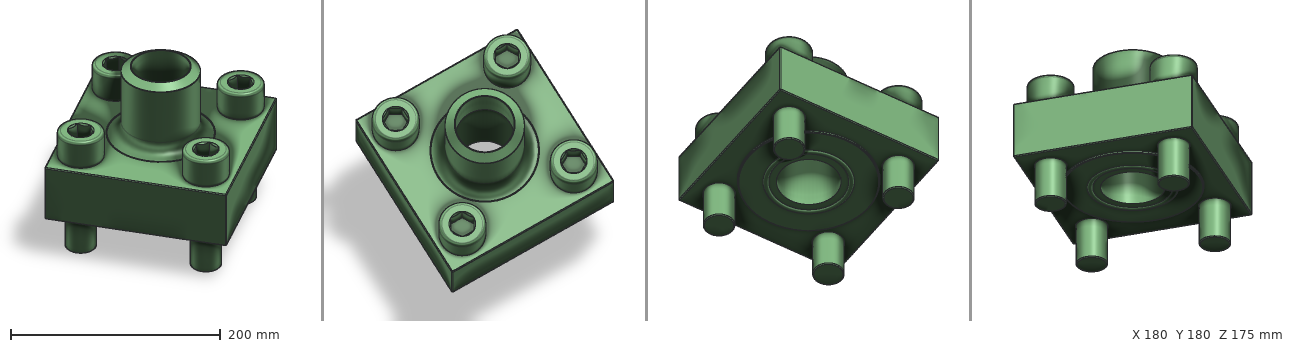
import cadquery as cq
import math

PLATE_SIDE = 180
PLATE_HEIGHT = 58.0
PLATE_CHAMFER = 0.99

PIPE_DIAMETER = 76.1
BEVEL_FOOT_DIAMETER = 75.6
SHOULDER_HEIGHT = 0.5
PIPE_TOP = 133.0
NECK_BORE = 56.2
INLET_BORE = 61.5
INLET_TOP = 95.5
WELD_FACE_DIAMETER = 58.0
BEVEL_ANGLE = 30
HUB_DIAMETER = 102.5
COLLAR_DIAMETER = 135
COLLAR_HEIGHT = 22.0
COLLAR_PROJECTION = 2.0
COLLAR_CHAMFER = 0.7

PLATE_BORE = 103.0
PLATE_BORE_CHAMFER = 0.7
RECESS_DIAMETER = 136.0

ORING_INNER_DIAMETER = 76.1
ORING_OUTER_DIAMETER = 87.3
ORING_PROJECTION = 1.6

SCREW_COUNT = 4
SCREW_SPACING = 123.8
SHANK_DIAMETER = 30.0
SHANK_BOTTOM = -42.0
SHANK_CHAMFER = 1.0
HEAD_DIAMETER = 45
HEAD_HEIGHT = 30.0
HEAD_FILLET = 3.0
SOCKET_SIDES = 6
SOCKET_CORNER_DIAMETER = 25.4
SOCKET_DEPTH = 18
SCREW_HOLE_DIAMETER = 31.0

COLLAR_TOP = COLLAR_HEIGHT - COLLAR_PROJECTION
ORING_MEAN_RADIUS = (ORING_INNER_DIAMETER + ORING_OUTER_DIAMETER) / 4
ORING_SECTION_RADIUS = (ORING_OUTER_DIAMETER - ORING_INNER_DIAMETER) / 4
ORING_CENTER_Z = ORING_SECTION_RADIUS - COLLAR_PROJECTION - ORING_PROJECTION


def cylinder(diameter, bottom, top):
    """Upright cylinder on the Z axis between two heights."""
    return cq.Workplane("XY").workplane(offset=bottom).circle(diameter / 2).extrude(top - bottom)


def make_plate():
    """Chamfered square plate with a neck bore, a collar recess and four screw holes."""
    plate = cq.Workplane("XY").box(PLATE_SIDE, PLATE_SIDE, PLATE_HEIGHT, centered=(True, True, False))
    plate = plate.edges().chamfer(PLATE_CHAMFER)
    plate = plate.cut(cylinder(PLATE_BORE, 0, PLATE_HEIGHT))
    plate = plate.faces(">Z").edges("%CIRCLE").chamfer(PLATE_BORE_CHAMFER)
    plate = plate.cut(cylinder(RECESS_DIAMETER, 0, COLLAR_TOP))
    screw_holes = (
        cq.Workplane("XY")
        .rect(SCREW_SPACING, SCREW_SPACING, forConstruction=True)
        .vertices()
        .circle(SCREW_HOLE_DIAMETER / 2)
        .extrude(PLATE_HEIGHT)
    )
    return plate.cut(screw_holes)


def make_oring():
    """Torus standing slightly out of the collar's lower face."""
    return (
        cq.Workplane("XZ")
        .center(ORING_MEAN_RADIUS, ORING_CENTER_Z)
        .circle(ORING_SECTION_RADIUS)
        .revolve(360, (-ORING_MEAN_RADIUS, 0), (-ORING_MEAN_RADIUS, 1))
    )


def make_neck():
    """Revolved weld neck with a flared foot, a wider inlet bore and an O-ring groove."""
    pipe_radius = PIPE_DIAMETER / 2
    hub_radius = HUB_DIAMETER / 2
    collar_radius = COLLAR_DIAMETER / 2
    weld_radius = WELD_FACE_DIAMETER / 2
    flare_radius = hub_radius - pipe_radius
    flare_middle = flare_radius * (1 - math.sqrt(0.5))
    foot_radius = BEVEL_FOOT_DIAMETER / 2
    bevel_height = (foot_radius - weld_radius) * math.tan(math.radians(BEVEL_ANGLE))
    neck = (
        cq.Workplane("XZ")
        .moveTo(INLET_BORE / 2, -COLLAR_PROJECTION)
        .lineTo(collar_radius - COLLAR_CHAMFER, -COLLAR_PROJECTION)
        .lineTo(collar_radius, COLLAR_CHAMFER - COLLAR_PROJECTION)
        .lineTo(collar_radius, COLLAR_TOP)
        .lineTo(hub_radius, COLLAR_TOP)
        .lineTo(hub_radius, PLATE_HEIGHT)
        .threePointArc(
            (pipe_radius + flare_middle, PLATE_HEIGHT + flare_middle),
            (pipe_radius, PLATE_HEIGHT + flare_radius),
        )
        .lineTo(pipe_radius, PIPE_TOP - bevel_height - SHOULDER_HEIGHT)
        .lineTo(foot_radius, PIPE_TOP - bevel_height)
        .lineTo(weld_radius, PIPE_TOP)
        .lineTo(NECK_BORE / 2, PIPE_TOP)
        .lineTo(NECK_BORE / 2, INLET_TOP)
        .lineTo(INLET_BORE / 2, INLET_TOP)
        .close()
        .revolve(360, (0, 0), (0, 1))
    )
    groove_top = ORING_CENTER_Z + ORING_SECTION_RADIUS
    groove = cylinder(ORING_OUTER_DIAMETER, -COLLAR_PROJECTION, groove_top)
    groove = groove.cut(cylinder(ORING_INNER_DIAMETER, -COLLAR_PROJECTION, groove_top))
    return neck.cut(groove)


def make_screw(x, y, socket_angle):
    """Cap screw whose hexagon socket has a corner at the given angle from +X."""
    head_top = PLATE_HEIGHT + HEAD_HEIGHT
    head = cylinder(HEAD_DIAMETER, PLATE_HEIGHT, head_top)
    head = head.edges("%CIRCLE").fillet(HEAD_FILLET)
    shank = cylinder(SHANK_DIAMETER, SHANK_BOTTOM, PLATE_HEIGHT)
    shank = shank.faces("<Z").edges().chamfer(SHANK_CHAMFER)
    socket = (
        cq.Workplane("XY")
        .workplane(offset=head_top - SOCKET_DEPTH)
        .polygon(SOCKET_SIDES, SOCKET_CORNER_DIAMETER)
        .extrude(SOCKET_DEPTH)
        .rotate((0, 0, 0), (0, 0, 1), socket_angle)
    )
    corner_radius = SOCKET_CORNER_DIAMETER / 2
    flat_radius = corner_radius * math.cos(math.pi / SOCKET_SIDES)
    lead_in_depth = corner_radius - flat_radius
    lead_in = cq.Workplane(cq.Solid.makeCone(flat_radius, corner_radius, lead_in_depth)).translate(
        (0, 0, head_top - lead_in_depth)
    )
    return head.union(shank).cut(socket).cut(lead_in).translate((x, y, 0))


plate = make_plate()
neck = make_neck()
oring = make_oring()

quarter_turn = 360 / SCREW_COUNT
corner_distance = SCREW_SPACING / math.sqrt(2)
screws = []
for index in range(SCREW_COUNT):
    turn = quarter_turn * index
    direction = math.radians(turn + quarter_turn / 2)
    x = corner_distance * math.cos(direction)
    y = corner_distance * math.sin(direction)
    screws.append(make_screw(x, y, turn))

result = cq.Compound.makeCompound(
    [plate.val(), neck.val(), oring.val(), *[screw.val() for screw in screws]]
)